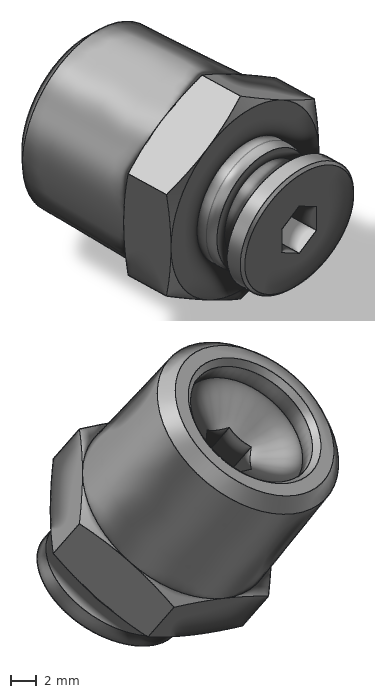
import cadquery as cq
import math

LENGTH = 22.75
HEX_START = 12.01
HEX_END = 17.02
COLLAR_END = 18.0
COLLAR_TIP = 18.93
STEP_END = 20.4
NECK_END = 21.11

HEX_ACROSS_FLATS = 17.0
THREAD_ROOT_RADIUS = HEX_ACROSS_FLATS / 2
THREAD_TAPER = 1 / 16
LEAD_CHAMFER = 1.02
LEAD_RADIUS = THREAD_ROOT_RADIUS - (HEX_START - LEAD_CHAMFER) * THREAD_TAPER / 2

HEX_CHAMFER_ANGLE = 20.0

COLLAR_RADIUS = 5.5
COLLAR_TIP_RADIUS = 5.3
STEP_RADIUS = 4.41
NECK_RADIUS = 3.75

FLANGE_HALF_WIDTH = 6.5
FLANGE_HALF_HEIGHT = COLLAR_RADIUS
FLANGE_CHAMFER = 0.25

BORE_RADIUS = 5.48
BORE_CHAMFER = 0.48
BORE_DEPTH = 2.0
FLOOR_HALF_ANGLE = 59.0
KEY_ACROSS_FLATS = 3.95


def revolve_about_x(profile):
    """Revolve a closed XY profile a full turn about the X axis."""
    return profile.close().revolve(360, (0, 0, 0), (1, 0, 0))


def hex_prism(across_flats, start, end):
    """Hexagonal prism along X with its corners pointing up and down."""
    across_corners = across_flats / math.cos(math.radians(30))
    return (
        cq.Workplane("YZ", origin=(start, 0, 0))
        .transformed(rotate=(0, 0, 90))
        .polygon(6, across_corners)
        .extrude(end - start)
    )


def make_thread():
    return revolve_about_x(
        cq.Workplane("XY")
        .lineTo(0, LEAD_RADIUS - LEAD_CHAMFER)
        .lineTo(LEAD_CHAMFER, LEAD_RADIUS)
        .lineTo(HEX_START, THREAD_ROOT_RADIUS)
        .lineTo(HEX_START, 0)
    )


def make_nut():
    """Hexagon whose corners are turned down to its inscribed circle at both faces."""
    face_radius = HEX_ACROSS_FLATS / 2
    mid_length = (HEX_END - HEX_START) / 2
    peak_radius = face_radius + mid_length / math.tan(math.radians(HEX_CHAMFER_ANGLE))
    turning_envelope = revolve_about_x(
        cq.Workplane("XY")
        .moveTo(HEX_START, 0)
        .lineTo(HEX_START, face_radius)
        .lineTo(HEX_START + mid_length, peak_radius)
        .lineTo(HEX_END, face_radius)
        .lineTo(HEX_END, 0)
    )
    return hex_prism(HEX_ACROSS_FLATS, HEX_START, HEX_END).intersect(turning_envelope)


def make_sleeve():
    """Collar with a rounded tip, then a smaller step and the neck."""
    return revolve_about_x(
        cq.Workplane("XY")
        .moveTo(HEX_END, 0)
        .lineTo(HEX_END, COLLAR_RADIUS)
        .lineTo(COLLAR_END, COLLAR_RADIUS)
        .tangentArcPoint((COLLAR_TIP, COLLAR_TIP_RADIUS), relative=False)
        .lineTo(COLLAR_TIP, STEP_RADIUS)
        .lineTo(STEP_END, STEP_RADIUS)
        .lineTo(STEP_END, NECK_RADIUS)
        .lineTo(NECK_END, NECK_RADIUS)
        .lineTo(NECK_END, 0)
    )


def make_flange():
    return (
        cq.Workplane("YZ", origin=(NECK_END, 0, 0))
        .ellipse(FLANGE_HALF_WIDTH, FLANGE_HALF_HEIGHT)
        .extrude(LENGTH - NECK_END)
        .faces(">X")
        .chamfer(FLANGE_CHAMFER)
    )


def make_bore():
    cone_depth = BORE_RADIUS / math.tan(math.radians(FLOOR_HALF_ANGLE))
    return revolve_about_x(
        cq.Workplane("XY")
        .lineTo(0, BORE_RADIUS + BORE_CHAMFER)
        .lineTo(BORE_CHAMFER, BORE_RADIUS)
        .lineTo(BORE_DEPTH, BORE_RADIUS)
        .lineTo(BORE_DEPTH + cone_depth, 0)
    )


body = make_thread().union(make_nut()).union(make_sleeve()).union(make_flange())
result = body.cut(make_bore()).cut(hex_prism(KEY_ACROSS_FLATS, 0, LENGTH))